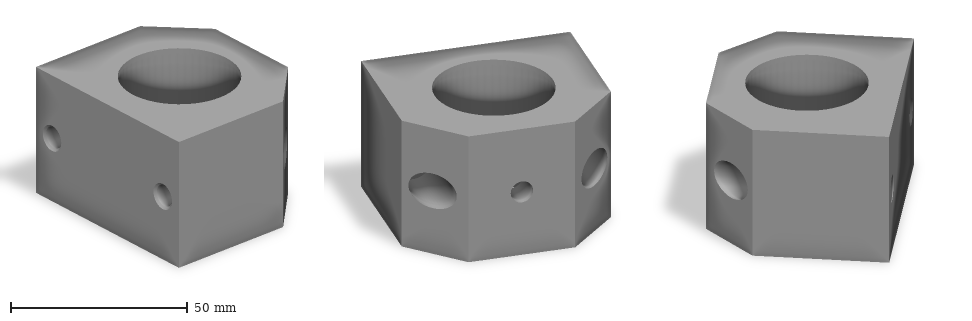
import cadquery as cq

width = 62.0
depth = 54.0
height = 40.0
corner_run_x = 15.2
corner_run_y = 15.0

bore_diameter = 35.0

bolt_offset = 24.0
bolt_diameter = 6.65
countersink_diameter = 8.0
head_diameter = 11.0
head_seat_y = 0.0

screw_diameter = 6.65

half_width = width / 2
half_depth = depth / 2


def make_block():
    """Rectangular block with its two back corners cut off."""
    outline = [
        (-half_width, -half_depth),
        (half_width, -half_depth),
        (half_width, half_depth - corner_run_y),
        (half_width - corner_run_x, half_depth),
        (-half_width + corner_run_x, half_depth),
        (-half_width, half_depth - corner_run_y),
    ]
    return cq.Workplane("XY").polyline(outline).close().extrude(height)


def bolt_hole(x):
    """Through hole, chamfered at the front, with a head recess at the back."""
    chamfer = (countersink_diameter - bolt_diameter) / 2
    profile = [
        (0, -half_depth),
        (countersink_diameter / 2, -half_depth),
        (bolt_diameter / 2, -half_depth + chamfer),
        (bolt_diameter / 2, head_seat_y),
        (head_diameter / 2, head_seat_y),
        (head_diameter / 2, half_depth),
        (0, half_depth),
    ]
    cutter = cq.Workplane("XY").polyline(profile).close().revolve(360, (0, 0, 0), (0, 1, 0))
    return cutter.translate((x, 0, height / 2))


def screw_hole():
    """Cutter through the back wall, ending inside the bore."""
    cutter = cq.Workplane("XZ").circle(screw_diameter / 2).extrude(-half_depth)
    return cutter.translate((0, 0, height / 2))


bore = cq.Workplane("XY").circle(bore_diameter / 2).extrude(height)

result = make_block().cut(bore).cut(screw_hole())
for side in (-1, 1):
    result = result.cut(bolt_hole(side * bolt_offset))